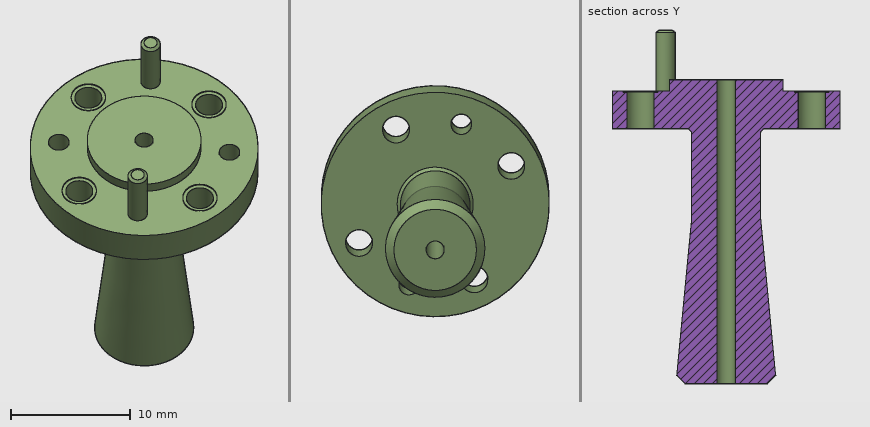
import cadquery as cq
import math

flange_diameter = 19.05
flange_bottom = 21.3
flange_top = 24.45
pad_diameter = 9.5
pad_top = 25.4

neck_diameter = 5.82
neck_bottom = 13.75
collar_size = 0.27
cone_diameter = 8.3
end_bevel = 0.7
bore_diameter = 1.5

bolt_circle_radius = 7.15
bolt_hole_diameter = 2.25
bolt_recess_diameter = 2.87
bolt_recess_depth = 0.1
dowel_circle_radius = bolt_circle_radius
dowel_hole_diameter = 1.7
pin_diameter = 1.62
pin_top = 29.55
pin_tip_width = 0.27
pin_tip_height = 0.18


def flange_points(radius, angles):
    """Points on a circle about the part axis, at angles in degrees from +X."""
    return [
        (radius * math.cos(math.radians(a)), radius * math.sin(math.radians(a)))
        for a in angles
    ]


def make_body():
    """Stem, flange and pad as one revolved profile."""
    neck_radius = neck_diameter / 2
    cone_radius = cone_diameter / 2
    profile = (
        cq.Workplane("XZ")
        .moveTo(0, 0)
        .lineTo(cone_radius - end_bevel, 0)
        .lineTo(cone_radius, end_bevel)
        .lineTo(neck_radius, neck_bottom)
        .lineTo(neck_radius, flange_bottom - collar_size)
        .lineTo(neck_radius + collar_size, flange_bottom)
        .lineTo(flange_diameter / 2, flange_bottom)
        .lineTo(flange_diameter / 2, flange_top)
        .lineTo(pad_diameter / 2, flange_top)
        .lineTo(pad_diameter / 2, pad_top)
        .lineTo(0, pad_top)
        .close()
    )
    return profile.revolve(360, (0, 0, 0), (0, 1, 0))


def make_pin(x, y):
    """Dowel pin seated in the full flange thickness, with a tapered tip."""
    radius = pin_diameter / 2
    return (
        cq.Workplane("XZ")
        .moveTo(0, flange_bottom)
        .lineTo(radius, flange_bottom)
        .lineTo(radius, pin_top - pin_tip_height)
        .lineTo(radius - pin_tip_width, pin_top)
        .lineTo(0, pin_top)
        .close()
        .revolve(360, (0, 0, 0), (0, 1, 0))
        .translate((x, y, 0))
    )


bolt_points = flange_points(bolt_circle_radius, [0, 90, 180, 270])
dowel_hole_points = flange_points(dowel_circle_radius, [45, 225])
pin_points = flange_points(dowel_circle_radius, [135, 315])

result = make_body()

result = result.cut(cq.Workplane("XY").circle(bore_diameter / 2).extrude(pad_top))

flange_face = cq.Workplane("XY", origin=(0, 0, flange_top))
flange_thickness = flange_top - flange_bottom
result = result.cut(
    flange_face.pushPoints(bolt_points).circle(bolt_hole_diameter / 2).extrude(-flange_thickness)
)
result = result.cut(
    flange_face.pushPoints(bolt_points).circle(bolt_recess_diameter / 2).extrude(-bolt_recess_depth)
)
result = result.cut(
    flange_face.pushPoints(dowel_hole_points).circle(dowel_hole_diameter / 2).extrude(-flange_thickness)
)

for pin_x, pin_y in pin_points:
    result = result.union(make_pin(pin_x, pin_y))